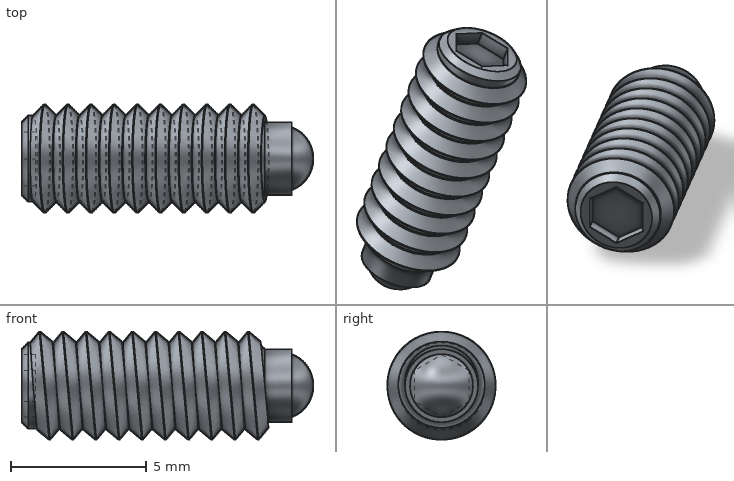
import cadquery as cq
import math


body_length = 9.0
root_radius = 1.6
end_chamfer = 0.25

ring_count = 10
pitch = 0.857
crest_radius = 2.01
thread_tilt = 5.2
thread_depth = crest_radius - root_radius
flank_half_angle = 45.0
crest_width = pitch - 2 * thread_depth * math.tan(math.radians(flank_half_angle))

pin_radius = root_radius - end_chamfer
pin_length = 1.0
ball_radius = 1.25
ball_projection = 0.8
pin_end = body_length + pin_length

hex_sides = 6
hex_across_flats = 2.0
socket_depth = 0.5
hex_across_corners = hex_across_flats / math.cos(math.pi / hex_sides)


def make_core():
    """Chamfered root cylinder, plain pin and ball tip as one revolved profile."""
    ball_center = pin_end + ball_projection - ball_radius
    ball_base_radius = math.sqrt(ball_radius**2 - (pin_end - ball_center) ** 2)
    ball_half_angle = math.atan2(ball_base_radius, pin_end - ball_center) / 2
    arc_middle = (
        ball_center + ball_radius * math.cos(ball_half_angle),
        ball_radius * math.sin(ball_half_angle),
    )
    profile = (
        cq.Workplane("XZ")
        .lineTo(0, root_radius - end_chamfer)
        .lineTo(end_chamfer, root_radius)
        .lineTo(body_length - end_chamfer, root_radius)
        .lineTo(body_length, pin_radius)
        .lineTo(pin_end, pin_radius)
        .lineTo(pin_end, ball_base_radius)
        .threePointArc(arc_middle, (pin_end + ball_projection, 0))
        .close()
    )
    return profile.revolve(360, (0, 0, 0), (1, 0, 0))


def make_thread_ring(center_x):
    """One V-shaped ring, tilted so that its top leans toward the socket face."""
    half_pitch = pitch / 2
    half_crest = crest_width / 2
    profile = (
        cq.Workplane("XZ")
        .moveTo(-half_pitch, 0)
        .lineTo(-half_pitch, root_radius)
        .lineTo(-half_crest, crest_radius)
        .lineTo(half_crest, crest_radius)
        .lineTo(half_pitch, root_radius)
        .lineTo(half_pitch, 0)
        .close()
    )
    ring = profile.revolve(360, (0, 0, 0), (1, 0, 0))
    tilted_ring = ring.rotate((0, 0, 0), (0, 1, 0), -thread_tilt)
    return tilted_ring.translate((center_x, 0, 0))


def make_hex_socket():
    """Blind hexagonal recess with two corners pointing along Z."""
    return (
        cq.Workplane("YZ")
        .polygon(hex_sides, hex_across_corners)
        .extrude(socket_depth)
        .rotate((0, 0, 0), (1, 0, 0), 90)
    )


screw = make_core()
for ring_number in range(1, ring_count + 1):
    screw = screw.union(make_thread_ring(ring_number * pitch))

result = screw.cut(make_hex_socket())